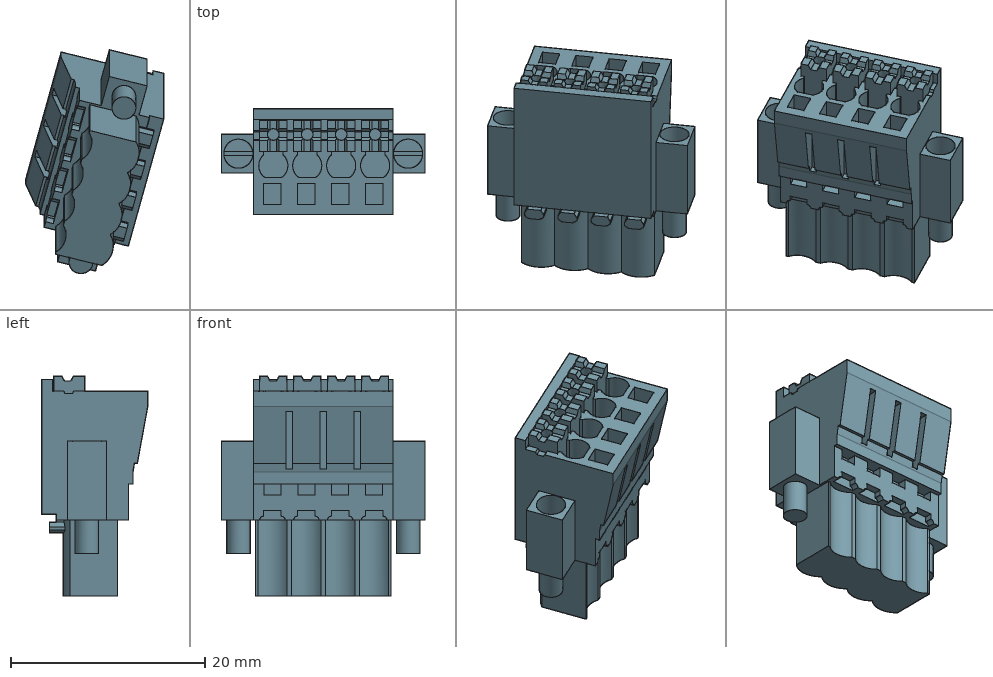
import cadquery as cq

POLES = 4
PITCH = 3.5
POLE_XS = [(i - (POLES - 1) / 2) * PITCH for i in range(POLES)]
LEVER_SHIFT = 0.1
LEVER_XS = [x + LEVER_SHIFT for x in POLE_XS]
JOINT_XS = [x + PITCH / 2 for x in POLE_XS[:-1]]

DEPTH = 10.95
BACK_Y = DEPTH / 2
FRONT_Y = -DEPTH / 2
HOUSING_WIDTH = 14.4
PLATE_TOP_Z = 14.5
PLATE_FRONT_Y = 4.34
DECK_Z = 13.3
SLANT_TOP_Z = 11.72
SLANT_BOTTOM_Y = -4.4
SLANT_BOTTOM_Z = 5.85
LEDGE_Y = -4.1
BAND_Y = -3.95
BAND_TOP_Z = 4.95
BAND_BOTTOM_Z = 3.7
SKIRT_Y = -3.5
HEEL_Y = 3.97
HEEL_Z = 0.6

TROUGH_Y = 2.68
TROUGH_TOP_WIDTH = 1.05
TROUGH_FLOOR_WIDTH = 0.75
TROUGH_DEPTH = 0.27

SLIT_WIDTH = 0.7
SLIT_BACK_Y = -3.3
SLIT_BOTTOM_Z = 5.25
SLIT_TOP_Z = 11.2
WINDOW_WIDTH = 1.75
WINDOW_HEIGHT = 1.1
WINDOW_DEPTH = 1.0
NOTCH_WIDTH = 1.82
NOTCH_HEIGHT = 1.0
NOTCH_DEPTH = 0.8
NOTCH_EAR_RADIUS = 0.4

OPENING_DEPTH = 6.0
WELL_Y = -0.41
WELL_RADIUS = 1.5
WELL_FLAT = 1.25
WELL_NECK_WIDTH = 2.0
WIRE_HOLE_WIDTH = 1.8
WIRE_HOLE_LENGTH = 2.15
WIRE_HOLE_Y = -3.33

PLUG_LENGTH = 7.85
PLUG_FRONT_Y = -2.36
PLUG_CORNER_Y = 2.57
PLUG_BULGE = 0.7
FLUTE_WIDTH = 3.0
FLUTE_DEPTH = 0.6

KEY_BACK_Y = 4.67
KEY_HALF_WIDTH = 1.0
KEY_TOP_HALF_WIDTH = 0.72
KEY_BOTTOM_HALF_WIDTH = 0.6
KEY_TOP_Z = -0.22
KEY_SIDE_TOP_Z = -0.7
KEY_SIDE_BOTTOM_Z = -1.03
KEY_BOTTOM_Z = -1.33

OVERALL_WIDTH = 21.0
FLANGE_WIDTH = (OVERALL_WIDTH - HOUSING_WIDTH) / 2
FLANGE_LENGTH = 4.03
FLANGE_HEIGHT = 8.15
SCREW_X = 8.75
SCREW_Y = 0.82
HEAD_DIAMETER = 3.0
HEAD_BOTTOM_Z = 2.0
HEAD_HEIGHT = 2.0
SHANK_DIAMETER = 2.45
SHANK_TIP_Z = -3.45
DRIVE_SLOT_WIDTH = 0.4
DRIVE_SLOT_DEPTH = 0.6

LEVER_WIDTH = 2.8
LEVER_BACK_Y = 4.24
LEVER_FRONT_Y = 1.02
LEVER_TOP_Z = 14.85
LEVER_FLOOR_Z = DECK_Z - OPENING_DEPTH
GROOVE_TOP_WIDTH = 1.2
GROOVE_FLOOR_WIDTH = 0.65
GROOVE_DEPTH = 0.5
LEVER_HOLE_Y = 2.8
LEVER_HOLE_DIAMETER = 1.2
LEVER_HOLE_DEPTH = 2.0


def block(x_range, y_range, z_range):
    """Box between the given X, Y and Z limits."""
    size = [limits[1] - limits[0] for limits in (x_range, y_range, z_range)]
    corner = (x_range[0], y_range[0], z_range[0])
    return cq.Workplane("XY").box(*size, centered=False).translate(corner)


def centred(middle, width):
    """Limits of a span of the given width about its middle."""
    return middle - width / 2, middle + width / 2


def cylinder(x, y, diameter, z_range):
    """Upright cylinder between two heights."""
    base = cq.Workplane("XY", origin=(x, y, z_range[0]))
    return base.circle(diameter / 2).extrude(z_range[1] - z_range[0])


def trapezoid_groove(plane, middle, surface_z, top_width, floor_width, depth, length):
    """Cutter for a groove with sloping sides, centred lengthwise on the plane."""
    outline = [
        (middle - top_width / 2, surface_z),
        (middle - floor_width / 2, surface_z - depth),
        (middle + floor_width / 2, surface_z - depth),
        (middle + top_width / 2, surface_z),
    ]
    return cq.Workplane(plane).polyline(outline).close().extrude(length / 2, both=True)


def housing_shell():
    outline = [
        (BACK_Y, PLATE_TOP_Z),
        (PLATE_FRONT_Y, PLATE_TOP_Z),
        (PLATE_FRONT_Y, DECK_Z),
        (FRONT_Y, DECK_Z),
        (FRONT_Y, SLANT_TOP_Z),
        (SLANT_BOTTOM_Y, SLANT_BOTTOM_Z),
        (LEDGE_Y, SLANT_BOTTOM_Z),
        (BAND_Y, BAND_TOP_Z),
        (BAND_Y, BAND_BOTTOM_Z),
        (SKIRT_Y, BAND_BOTTOM_Z),
        (SKIRT_Y, 0),
        (HEEL_Y, 0),
        (HEEL_Y, HEEL_Z),
        (BACK_Y, HEEL_Z),
    ]
    shell = cq.Workplane("YZ").polyline(outline).close().extrude(HOUSING_WIDTH / 2, both=True)
    trough = trapezoid_groove(
        "YZ", TROUGH_Y, DECK_Z, TROUGH_TOP_WIDTH, TROUGH_FLOOR_WIDTH, TROUGH_DEPTH, HOUSING_WIDTH
    )
    return shell.cut(trough)


def front_slit(x):
    """Narrow vertical slit in the slanted front, at the joint between two poles."""
    return block(centred(x, SLIT_WIDTH), (FRONT_Y, SLIT_BACK_Y), (SLIT_BOTTOM_Z, SLIT_TOP_Z))


def skirt_window(x):
    """Rectangular pocket at the top of the skirt."""
    z_range = (BAND_BOTTOM_Z - WINDOW_HEIGHT, BAND_BOTTOM_Z)
    return block(centred(x, WINDOW_WIDTH), (SKIRT_Y, SKIRT_Y + WINDOW_DEPTH), z_range)


def skirt_notch(x):
    """Notch in the lower edge of the skirt, widened at its mouth by two quarter-round ears."""
    half = NOTCH_WIDTH / 2
    radius = NOTCH_EAR_RADIUS
    outline = (
        cq.Workplane("XZ", origin=(x, SKIRT_Y, 0))
        .moveTo(-half - radius, 0)
        .radiusArc((-half, radius), radius)
        .lineTo(-half, NOTCH_HEIGHT)
        .lineTo(half, NOTCH_HEIGHT)
        .lineTo(half, radius)
        .radiusArc((half + radius, 0), radius)
        .close()
    )
    return outline.extrude(-NOTCH_DEPTH)


def lever_well(x):
    """Round well with two flats, opened by a neck to the front of the lever."""
    z_range = (LEVER_FLOOR_Z, DECK_Z)
    round_well = cylinder(x, WELL_Y, 2 * WELL_RADIUS, z_range)
    flats = block(centred(x, 2 * WELL_RADIUS), centred(WELL_Y, 2 * WELL_FLAT), z_range)
    neck = block(centred(x, WELL_NECK_WIDTH), (WELL_Y, LEVER_FRONT_Y), z_range)
    return round_well.intersect(flats).union(neck)


def lever_body(x):
    """Plain block of a lever, which is also the shape of its pocket."""
    return block(
        centred(x, LEVER_WIDTH), (LEVER_FRONT_Y, LEVER_BACK_Y), (LEVER_FLOOR_Z, LEVER_TOP_Z)
    )


def wire_hole(x):
    return block(
        centred(x, WIRE_HOLE_WIDTH), centred(WIRE_HOLE_Y, WIRE_HOLE_LENGTH), (LEVER_FLOOR_Z, DECK_Z)
    )


def plug():
    """Plug with a bulged back and a fluted front, one bulge and one flute per pole."""
    half_width = POLES * PITCH / 2
    outline = cq.Workplane("XY").moveTo(-half_width, PLUG_CORNER_Y)
    for x in POLE_XS:
        crest = (x, PLUG_CORNER_Y + PLUG_BULGE)
        outline = outline.threePointArc(crest, (x + PITCH / 2, PLUG_CORNER_Y))
    outline = outline.lineTo(half_width, PLUG_FRONT_Y)
    for x in reversed(POLE_XS):
        outline = outline.lineTo(x + FLUTE_WIDTH / 2, PLUG_FRONT_Y)
        deepest = (x, PLUG_FRONT_Y + FLUTE_DEPTH)
        outline = outline.threePointArc(deepest, (x - FLUTE_WIDTH / 2, PLUG_FRONT_Y))
    return outline.lineTo(-half_width, PLUG_FRONT_Y).close().extrude(-PLUG_LENGTH)


def coding_key(x):
    """Faceted key behind the plug, hung from the housing by a short neck."""
    right_side = [
        (KEY_TOP_HALF_WIDTH, KEY_TOP_Z),
        (KEY_HALF_WIDTH, KEY_SIDE_TOP_Z),
        (KEY_HALF_WIDTH, KEY_SIDE_BOTTOM_Z),
        (KEY_BOTTOM_HALF_WIDTH, KEY_BOTTOM_Z),
    ]
    left_side = [(-half_width, z) for half_width, z in reversed(right_side)]
    key = (
        cq.Workplane("XZ", origin=(x, KEY_BACK_Y, 0))
        .polyline(right_side + left_side)
        .close()
        .extrude(KEY_BACK_Y - PLUG_CORNER_Y)
    )
    neck = block(centred(x, 2 * KEY_TOP_HALF_WIDTH), (PLUG_CORNER_Y, HEEL_Y), (KEY_TOP_Z, 0))
    return key.union(neck)


def screw_flange(side):
    middle_x = side * (HOUSING_WIDTH + FLANGE_WIDTH) / 2
    flange = block(
        centred(middle_x, FLANGE_WIDTH), centred(SCREW_Y, FLANGE_LENGTH), (0, FLANGE_HEIGHT)
    )
    bore = cylinder(side * SCREW_X, SCREW_Y, HEAD_DIAMETER, (HEAD_BOTTOM_Z, FLANGE_HEIGHT))
    shank_hole = cylinder(side * SCREW_X, SCREW_Y, SHANK_DIAMETER, (0, HEAD_BOTTOM_Z))
    return flange.cut(bore).cut(shank_hole)


def make_housing():
    body = housing_shell()
    for x in JOINT_XS:
        body = body.cut(front_slit(x))
    for x in POLE_XS:
        body = body.cut(skirt_window(x)).cut(skirt_notch(x)).cut(wire_hole(x))
    for x in LEVER_XS:
        body = body.cut(lever_body(x)).cut(lever_well(x))
    body = body.union(plug())
    for x in POLE_XS:
        body = body.union(coding_key(x))
    for side in (-1, 1):
        body = body.union(screw_flange(side))
    return body


def make_lever(x):
    """Lever with crossed grooves and a round hole in its top."""
    groove = (LEVER_TOP_Z, GROOVE_TOP_WIDTH, GROOVE_FLOOR_WIDTH, GROOVE_DEPTH)
    cross_groove = trapezoid_groove("YZ", LEVER_HOLE_Y, *groove, LEVER_WIDTH)
    cross_groove = cross_groove.translate((x, 0, 0))
    long_groove = trapezoid_groove("XZ", x, *groove, 2 * LEVER_BACK_Y)
    hole = cylinder(
        x, LEVER_HOLE_Y, LEVER_HOLE_DIAMETER, (LEVER_TOP_Z - LEVER_HOLE_DEPTH, LEVER_TOP_Z)
    )
    return lever_body(x).cut(cross_groove).cut(long_groove).cut(hole)


def make_screw(x):
    """Slotted cheese-head screw with a plain shank."""
    head_top_z = HEAD_BOTTOM_Z + HEAD_HEIGHT
    head = cylinder(x, SCREW_Y, HEAD_DIAMETER, (HEAD_BOTTOM_Z, head_top_z))
    shank = cylinder(x, SCREW_Y, SHANK_DIAMETER, (SHANK_TIP_Z, HEAD_BOTTOM_Z))
    drive_slot = block(
        centred(x, HEAD_DIAMETER),
        centred(SCREW_Y, DRIVE_SLOT_WIDTH),
        (head_top_z - DRIVE_SLOT_DEPTH, head_top_z),
    )
    return head.union(shank).cut(drive_slot)


housing = make_housing()
levers = [make_lever(x) for x in LEVER_XS]
screws = [make_screw(side * SCREW_X) for side in (-1, 1)]

result = cq.Compound.makeCompound(
    [housing.val(), *[lever.val() for lever in levers], *[screw.val() for screw in screws]]
)